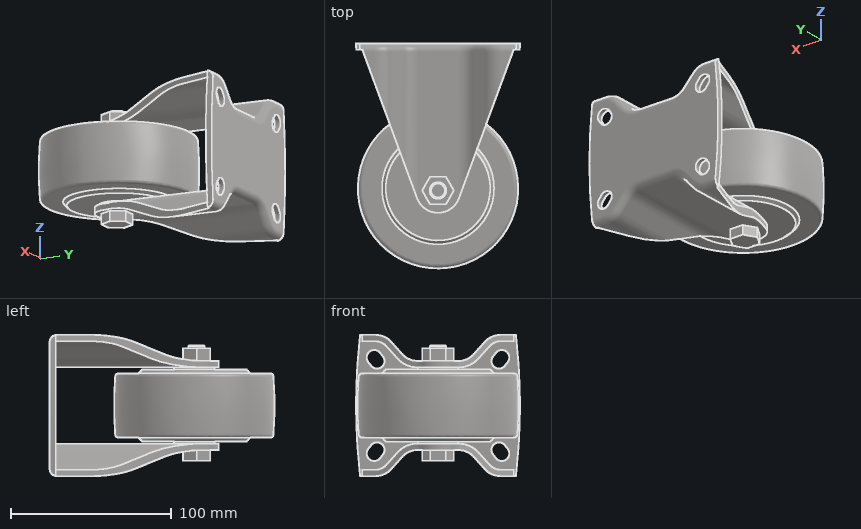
import cadquery as cq
import math


tread_radius = 50.0
tread_edge_radius = 49.1
tread_half_width = 20.0
tread_rounding = 2.1
hub_radius = 34.8
hub_chamfer = 2.4
hub_half_width = tread_half_width + hub_chamfer
spacer_radius = 12.7

overall_length = 139.9
sheet = 4.0
plate_height = 88.0
plate_width = 102.0
plate_corner_half_width = 48.4
plate_half_height = plate_height / 2
plate_half_width = plate_width / 2
plate_back = overall_length - tread_radius
plate_front = plate_back - sheet
fold_radius = 4.9
leg_half_width = 47.0
leg_flat_half_width = 12.9
leg_flat_height = 27.7
leg_bend_angle = math.radians(48)
shoulder_radius = 13.5
valley_radius = 12.3
leg_tip_radius = 13.8

slot_x = 38.7
slot_z = 28.7
slot_width = 9.2
slot_travel = 2.8
slot_angle = 52.0

bolt_y = -1.4
hex_flats = 17.0
nut_top = 35.7
head_bottom = -34.4
stud_radius = 5.2
stud_top = 37.5
stud_chamfer = 0.8

clearance = 1.4


def wave_points(depth):
    """Right half of the leg section, measured `depth` inside its outer face.

    Returned from the raised margin down to the flat strip as
    (margin tangent, mid bend, slope start, slope end, mid bend, strip tangent).
    """
    sine, cosine = math.sin(leg_bend_angle), math.cos(leg_bend_angle)
    half_sine, half_cosine = math.sin(leg_bend_angle / 2), math.cos(leg_bend_angle / 2)
    drop = plate_half_height - leg_flat_height
    slope_drop = drop - (shoulder_radius + valley_radius) * (1 - cosine)
    slope_run = slope_drop / math.tan(leg_bend_angle)
    shoulder_x = leg_flat_half_width + (shoulder_radius + valley_radius) * sine + slope_run
    shoulder_z = plate_half_height - shoulder_radius
    valley_z = leg_flat_height + valley_radius
    shoulder = shoulder_radius - depth
    valley = valley_radius + depth
    return [
        (shoulder_x, shoulder_z + shoulder),
        (shoulder_x - shoulder * half_sine, shoulder_z + shoulder * half_cosine),
        (shoulder_x - shoulder * sine, shoulder_z + shoulder * cosine),
        (leg_flat_half_width + valley * sine, valley_z - valley * cosine),
        (leg_flat_half_width + valley * half_sine, valley_z - valley * half_cosine),
        (leg_flat_half_width, valley_z - valley),
    ]


def add_wave(outline, points):
    """Continue an outline through one half wave: arc, slope, arc."""
    start, bend_a, slope_a, slope_b, bend_b, end = points
    return (
        outline.lineTo(*start)
        .threePointArc(bend_a, slope_a)
        .lineTo(*slope_b)
        .threePointArc(bend_b, end)
    )


def waisted_prism(depth, corner_half_width, bow_half_width, back):
    """Prism with wavy top and bottom and bowed sides, running from `back` toward -Y.

    Top and bottom lie `depth` inside the outer faces of the legs.
    """
    right = wave_points(depth)
    left = [(-x, z) for x, z in reversed(right)]
    lower_left = [(x, -z) for x, z in reversed(left)]
    lower_right = [(x, -z) for x, z in reversed(right)]
    corner_z = plate_half_height - depth
    outline = cq.Workplane("XZ", origin=(0, back, 0)).moveTo(corner_half_width, corner_z)
    outline = add_wave(add_wave(outline, right), left)
    outline = outline.lineTo(-corner_half_width, corner_z)
    outline = outline.threePointArc((-bow_half_width, 0), (-corner_half_width, -corner_z))
    outline = add_wave(add_wave(outline, lower_left), lower_right)
    outline = outline.lineTo(corner_half_width, -corner_z)
    outline = outline.threePointArc((bow_half_width, 0), (corner_half_width, corner_z))
    return outline.close().extrude(overall_length)


def fork_silhouette():
    """Plate strip plus legs tapering to a tangent round end, seen along Z."""
    leg_length = plate_front - bolt_y
    reach = math.hypot(leg_half_width, leg_length)
    taper = math.atan2(leg_half_width, leg_length) - math.asin(leg_tip_radius / reach)
    tangent_x = leg_tip_radius * math.cos(taper)
    tangent_y = bolt_y - leg_tip_radius * math.sin(taper)
    legs = (
        cq.Workplane("XY", origin=(0, 0, -plate_half_height))
        .moveTo(-leg_half_width, plate_front)
        .lineTo(-tangent_x, tangent_y)
        .threePointArc((0, bolt_y - leg_tip_radius), (tangent_x, tangent_y))
        .lineTo(leg_half_width, plate_front)
        .close()
        .extrude(plate_height)
    )
    plate = cq.Workplane("XY").box(plate_width, sheet, plate_height)
    return legs.union(plate.translate((0, plate_front + sheet / 2, 0)))


def cut_slots(body):
    """Cut the four mounting slots, mirrored about both middle planes."""
    for side_x in (-1, 1):
        for side_z in (-1, 1):
            slot = (
                cq.Workplane("XZ", origin=(0, plate_back, 0))
                .center(side_x * slot_x, side_z * slot_z)
                .slot2D(slot_travel + slot_width, slot_width, side_x * side_z * slot_angle)
                .extrude(sheet)
            )
            body = body.cut(slot)
    return body


def fork():
    """Rounded block, hollowed to sheet thickness and trimmed to the leg shape."""
    blank = waisted_prism(0, plate_corner_half_width, plate_half_width, plate_back)
    wavy_edges = cq.selectors.BoxSelector(
        (-plate_corner_half_width, plate_front, -plate_half_height - clearance),
        (plate_corner_half_width, plate_back + clearance, plate_half_height + clearance),
    )
    blank = blank.faces(">Y").edges(wavy_edges).fillet(fold_radius)
    hollow = waisted_prism(
        sheet, plate_corner_half_width + clearance, plate_half_width + clearance, plate_front
    )
    return cut_slots(blank.cut(hollow).intersect(fork_silhouette()))


def wheel():
    """Crowned tread, chamfered hub and the spacers that reach the legs."""
    tread = (
        cq.Workplane("XZ")
        .moveTo(0, -tread_half_width)
        .lineTo(tread_edge_radius, -tread_half_width)
        .threePointArc((tread_radius, 0), (tread_edge_radius, tread_half_width))
        .lineTo(0, tread_half_width)
        .close()
        .revolve(360, (0, 0), (0, 1))
        .faces("<Z or >Z")
        .edges()
        .fillet(tread_rounding)
    )
    hub = cq.Workplane("XY").circle(hub_radius).extrude(hub_half_width, both=True)
    hub = hub.faces("<Z or >Z").chamfer(hub_chamfer)
    spacer_half_length = leg_flat_height - sheet
    spacer = cq.Workplane("XY").circle(spacer_radius).extrude(spacer_half_length, both=True)
    return tread.union(hub).union(spacer)


def bolt():
    """Hex nut above the fork, hex head below and the stud joining them."""
    hex_corners = hex_flats / math.cos(math.pi / 6)
    nut = (
        cq.Workplane("XY", origin=(0, bolt_y, leg_flat_height))
        .polygon(6, hex_corners)
        .extrude(nut_top - leg_flat_height)
    )
    head = (
        cq.Workplane("XY", origin=(0, bolt_y, head_bottom))
        .polygon(6, hex_corners)
        .extrude(-leg_flat_height - head_bottom)
    )
    stud = (
        cq.Workplane("XY", origin=(0, bolt_y, head_bottom))
        .circle(stud_radius)
        .extrude(stud_top - head_bottom)
        .faces(">Z")
        .chamfer(stud_chamfer)
    )
    return nut.union(head).union(stud)


result = fork().union(wheel()).union(bolt())